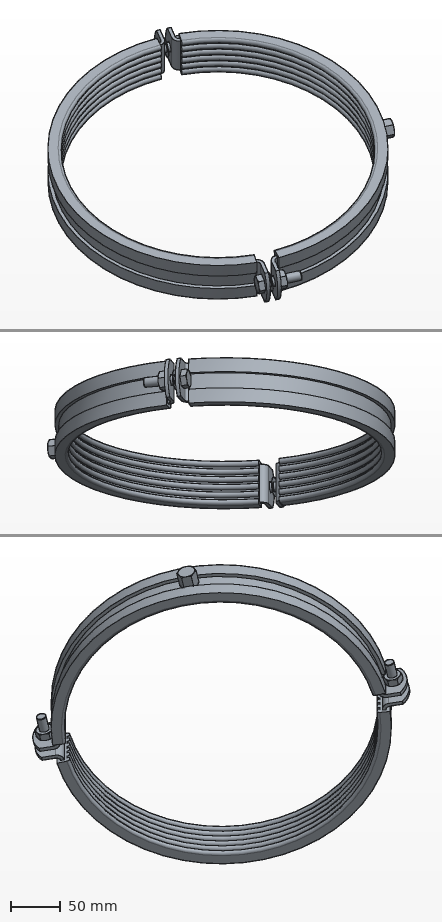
import cadquery as cq
import math

ring_width = 47.0
lip_radius = 171.0
band_outer_radius = 167.5
band_thickness = 4.0
band_inner_radius = band_outer_radius - band_thickness
lining_radius = 161.0
rib_radius = 3.0
rib_count = 6
lip_gap = 17.3
shell_end = 10.7

ear_tip = 192.0
ear_shoulder = 185.0
ear_width = 40.3
ear_inner_face = 4.0
ear_outer_face = ear_inner_face + band_thickness
bend_radius = 2 * band_thickness
ear_hole_diameter = 11.0

bolt_x = 178.5
bolt_diameter = 10.0
bolt_end = 32.2
bolt_tip_diameter = 9.2
bolt_tip_length = 0.8
bolt_hex_diameter = 19.5
boss_hex_diameter = 20.0
nut_height = 8.0
head_height = 6.5
washer_diameter = 20.0
washer_thickness = 0.5
boss_end = 183.5
boss_sink = 0.5
hex_chamfer_angle = math.radians(30)


def y_cylinder(diameter, x, y_start, y_end):
    """Cylinder along Y."""
    plane = cq.Plane(origin=(x, y_start, 0), xDir=(1, 0, 0), normal=(0, 1, 0))
    return cq.Workplane(plane).circle(diameter / 2).extrude(y_end - y_start)


def y_hexagon(diameter, x, y_start, y_end, chamfered_ends):
    """Hexagon along Y, corners pointing along X, its corners turned off at the selected ends."""
    plane = cq.Plane(origin=(x, y_start, 0), xDir=(1, 0, 0), normal=(0, 1, 0))
    prism = cq.Workplane(plane).polygon(6, diameter).extrude(y_end - y_start)
    corner_depth = diameter / 2 * (1 - math.cos(math.pi / 6))
    drop = corner_depth * math.tan(hex_chamfer_angle)
    envelope = y_cylinder(diameter, x, y_start, y_end).faces(chamfered_ends).chamfer(drop, corner_depth)
    return prism.intersect(envelope)


def make_ring():
    """Full ring with the outer channel and the rounded ribs inside."""
    half_width = ring_width / 2
    rib_pitch = (ring_width - 2 * rib_radius) / (rib_count - 1)
    profile = (
        cq.Workplane("XZ")
        .moveTo(lining_radius, half_width)
        .lineTo(lip_radius, half_width)
        .lineTo(lip_radius, lip_gap / 2)
        .lineTo(band_outer_radius, lip_gap / 2)
        .lineTo(band_outer_radius, -lip_gap / 2)
        .lineTo(lip_radius, -lip_gap / 2)
        .lineTo(lip_radius, -half_width)
        .lineTo(lining_radius, -half_width)
    )
    for index in range(rib_count):
        rib_z = -half_width + rib_radius + index * rib_pitch
        if index > 0:
            profile = profile.lineTo(lining_radius, rib_z - rib_radius)
        profile = profile.threePointArc(
            (lining_radius - rib_radius, rib_z), (lining_radius, rib_z + rib_radius)
        )
    return profile.close().revolve(360, (0, 0, 0), (0, 1, 0))


def make_split():
    """Two radial wedges that part the ring into half shells."""
    reach = 1.1 * lip_radius
    half_opening = reach * shell_end / (lining_radius - rib_radius)
    wedge = (
        cq.Workplane("XY")
        .polyline([(0, 0), (reach, -half_opening), (reach, half_opening)])
        .close()
        .extrude(ring_width, both=True)
    )
    return wedge.union(wedge.mirror("YZ"))


def make_ear():
    """Band end on the +X, +Y side, bent outward into a flat ear with a rounded tip."""
    bend_y = ear_inner_face + bend_radius
    inner_x = math.sqrt(band_inner_radius**2 - bend_y**2)
    bend_x = inner_x + bend_radius
    inside_radius = bend_radius - band_thickness
    diagonal = math.sqrt(0.5)
    strip = (
        cq.Workplane("XY")
        .moveTo(inner_x, bend_y)
        .threePointArc(
            (bend_x - bend_radius * diagonal, bend_y - bend_radius * diagonal),
            (bend_x, ear_inner_face),
        )
        .lineTo(ear_tip, ear_inner_face)
        .lineTo(ear_tip, ear_outer_face)
        .lineTo(bend_x, ear_outer_face)
        .threePointArc(
            (bend_x - inside_radius * diagonal, bend_y - inside_radius * diagonal),
            (bend_x - inside_radius, bend_y),
        )
        .close()
        .extrude(ear_width / 2, both=True)
    )
    outline = (
        cq.Workplane("XZ")
        .moveTo(0, -ear_width / 2)
        .lineTo(ear_shoulder, -ear_width / 2)
        .threePointArc((ear_tip, 0), (ear_shoulder, ear_width / 2))
        .lineTo(0, ear_width / 2)
        .close()
        .extrude(-2 * bend_y)
    )
    hole = y_cylinder(ear_hole_diameter, bolt_x, 0, bend_y)
    return strip.intersect(outline).cut(hole)


def make_bolt():
    """Bolt on the +X side with its head, nut and thin retaining washer."""
    head_end = -ear_outer_face - head_height
    nut_end = ear_outer_face + nut_height
    head = y_hexagon(bolt_hex_diameter, bolt_x, head_end, -ear_outer_face, "<Y")
    shank = y_cylinder(bolt_diameter, bolt_x, -ear_outer_face, bolt_end)
    shank = shank.faces(">Y").chamfer(bolt_tip_length, (bolt_diameter - bolt_tip_diameter) / 2)
    nut = y_hexagon(bolt_hex_diameter, bolt_x, ear_outer_face, nut_end, "|Y")
    washer = y_cylinder(washer_diameter, bolt_x, -washer_thickness / 2, washer_thickness / 2)
    return head.union(shank).union(nut).union(washer)


upper_ear = make_ear()
right_clamp = make_bolt().union(upper_ear).union(upper_ear.mirror("XZ"))
left_clamp = right_clamp.mirror("YZ")

boss = y_hexagon(boss_hex_diameter, 0, band_outer_radius - boss_sink, boss_end, "|Y")

result = make_ring().cut(make_split()).union(right_clamp).union(left_clamp).union(boss)